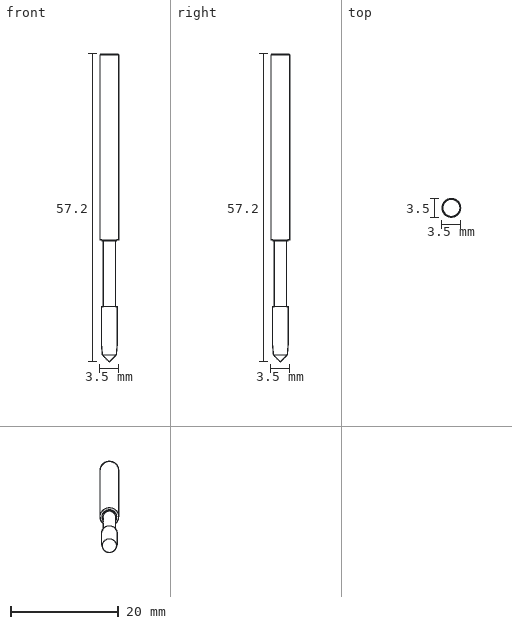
import cadquery as cq

total_length = 57.25

barrel_diameter = 3.5
barrel_radius = barrel_diameter / 2
barrel_bottom = 22.5
bottom_step_height = 0.2
bottom_step_radius = 1.4
top_chamfer_height = 0.25
top_chamfer_width = 0.2
top_band_length = 5.95
band_height = total_length - top_band_length

shaft_radius = 1.15
collar_radius = 1.5
collar_top = 10.3
taper_top = 3.25
nose_radius = 1.3
nose_height = nose_radius


def turned(profile):
    """Revolve a closed (radius, height) outline about Z, keeping every face of the outline."""
    return cq.Workplane("XZ").polyline(profile).close().revolve(360, (0, 0), (0, 1), clean=False)


def make_barrel():
    """Cylindrical barrel, chamfered on top and stepped below, its wall made of two faces."""
    return turned([
        (0, barrel_bottom),
        (bottom_step_radius, barrel_bottom),
        (bottom_step_radius, barrel_bottom + bottom_step_height),
        (barrel_radius, barrel_bottom + bottom_step_height),
        (barrel_radius, band_height),
        (barrel_radius, total_length - top_chamfer_height),
        (barrel_radius - top_chamfer_width, total_length),
        (0, total_length),
    ])


def make_plunger():
    """Plunger with a thin shaft, a collar, a tapered end and a pointed nose."""
    return turned([
        (0, 0),
        (nose_radius, nose_height),
        (collar_radius, taper_top),
        (collar_radius, collar_top),
        (shaft_radius, collar_top),
        (shaft_radius, barrel_bottom),
        (0, barrel_bottom),
    ])


barrel = make_barrel()
plunger = make_plunger()
result = cq.Compound.makeCompound([barrel.val(), plunger.val()])